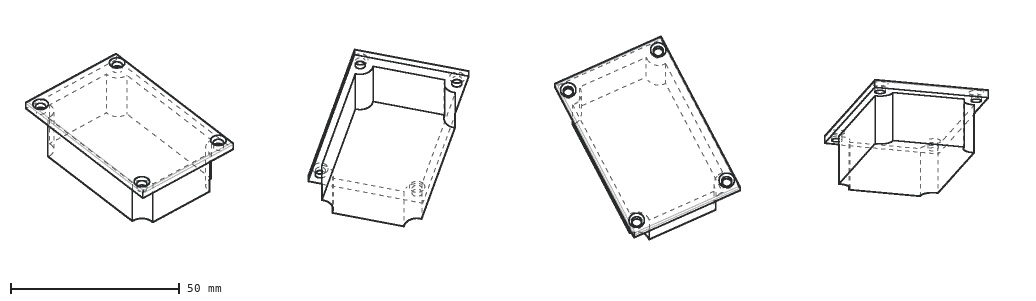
import cadquery as cq

plate_length = 54.0
plate_width = 35.0
plate_thickness = 2.55
edge_fillet = 0.5

total_height = 17.5
block_length = 47.5
block_width = 30.5
block_height = total_height - plate_thickness

hole_spacing_x = 46.55
hole_spacing_y = 29.6
hole_diameter = 3.0
countersink_diameter = 4.6
countersink_angle = 82
notch_radius = 3.85


def at_screws(workplane):
    """Place one point on each screw axis."""
    return workplane.rarray(hole_spacing_x, hole_spacing_y, 2, 2)


def make_plate():
    plate = cq.Workplane("XY").workplane(offset=block_height)
    plate = plate.rect(plate_length, plate_width).extrude(plate_thickness)
    plate = plate.faces(">Z").fillet(edge_fillet)
    top = cq.Workplane("XY").workplane(offset=total_height)
    screw_face = plate.copyWorkplane(top)
    return at_screws(screw_face).cskHole(hole_diameter, countersink_diameter, countersink_angle)


def make_block():
    block = cq.Workplane("XY").rect(block_length, block_width).extrude(block_height)
    notches = at_screws(cq.Workplane("XY")).circle(notch_radius).extrude(block_height)
    return block.cut(notches)


result = make_plate().union(make_block())